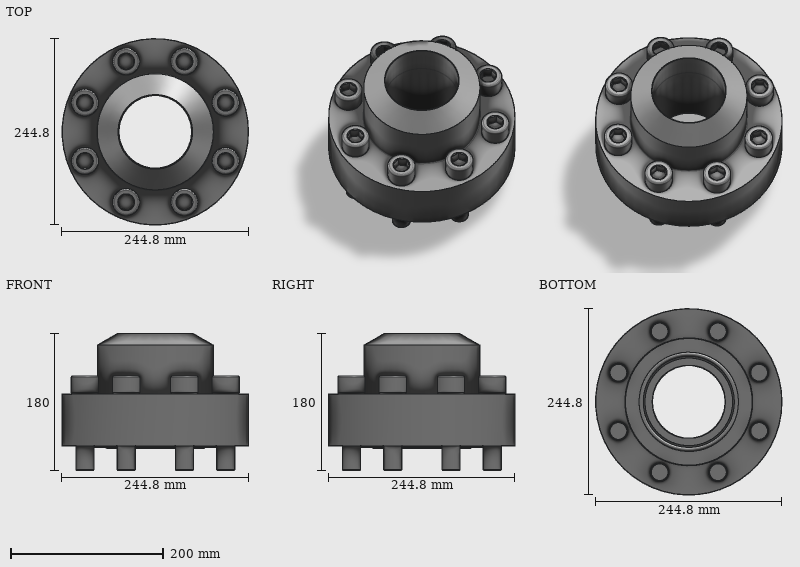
import cadquery as cq
import math

FLANGE_DIAMETER = 244.8
FLANGE_THICKNESS = 68.0
RAISED_FACE_DIAMETER = 168.0
RAISED_FACE_HEIGHT = 2.0
RAISED_FACE_CHAMFER = 0.7

NECK_DIAMETER = 152.5
NECK_FILLET = 1.0
WELD_BEVEL_HEIGHT = 15.7
WELD_RIM_DIAMETER = 98.0
BORE_TOP_DIAMETER = 96.5
BORE_BOTTOM_DIAMETER = 95.5
STRAIGHT_BORE_DEPTH = 39.2

GROOVE_INNER_DIAMETER = 115.0
GROOVE_OUTER_DIAMETER = 130.5
RING_SECTION_DIAMETER = 5.5
RING_PROTRUSION = 1.5

SCREW_COUNT = 8
SCREW_CIRCLE_DIAMETER = 200.0
FIRST_SCREW_ANGLE = 180 / SCREW_COUNT
SCREW_HOLE_DIAMETER = 25.0
SHANK_DIAMETER = 24.0
SHANK_TIP_DIAMETER = 22.0
SHANK_LENGTH = 100.0
HEAD_DIAMETER = 36.0
HEAD_HEIGHT = SHANK_DIAMETER
HEAD_TOP_FILLET = 2.5
HEAD_SEAT_CHAMFER_HEIGHT = 2.0
HEAD_SEAT_CHAMFER_WIDTH = 1.0
SOCKET_CORNER_DIAMETER = 22.0
SOCKET_SIDES = 6
SOCKET_DEPTH = 14.5

TOTAL_HEIGHT = 180.0
FLANGE_TOP = SHANK_LENGTH
HEAD_TOP = FLANGE_TOP + HEAD_HEIGHT
FLANGE_BOTTOM = FLANGE_TOP - FLANGE_THICKNESS
SEAL_FACE = FLANGE_BOTTOM - RAISED_FACE_HEIGHT
WELD_BEVEL_START = TOTAL_HEIGHT - WELD_BEVEL_HEIGHT

RING_SECTION_RADIUS = RING_SECTION_DIAMETER / 2
RING_CENTRE_RADIUS = GROOVE_OUTER_DIAMETER / 2 - RING_SECTION_RADIUS
RING_CENTRE_HEIGHT = SEAL_FACE - RING_PROTRUSION + RING_SECTION_RADIUS
GROOVE_TOP = RING_CENTRE_HEIGHT + RING_SECTION_RADIUS


def fillet_midpoint_offset(radius):
    """Distance from each tangent wall to the middle of a quarter-round fillet."""
    return radius * (1 - math.sqrt(0.5))


def revolve_about_z(profile):
    """Revolve a closed profile, drawn as radius and height, around the Z axis."""
    return profile.revolve(360, (0, 0, 0), (0, 1, 0))


def screw_positions():
    """Angle in degrees and X, Y centre of every screw."""
    positions = []
    for index in range(SCREW_COUNT):
        angle = FIRST_SCREW_ANGLE + index * 360 / SCREW_COUNT
        radius = SCREW_CIRCLE_DIAMETER / 2
        x = radius * math.cos(math.radians(angle))
        y = radius * math.sin(math.radians(angle))
        positions.append((angle, x, y))
    return positions


def make_flange():
    """Weld-neck flange with bore, ring groove and screw holes."""
    neck_radius = NECK_DIAMETER / 2
    arc_offset = fillet_midpoint_offset(NECK_FILLET)
    profile = (
        cq.Workplane("XZ")
        .moveTo(BORE_BOTTOM_DIAMETER / 2, SEAL_FACE)
        .lineTo(GROOVE_INNER_DIAMETER / 2, SEAL_FACE)
        .lineTo(GROOVE_INNER_DIAMETER / 2, GROOVE_TOP)
        .lineTo(GROOVE_OUTER_DIAMETER / 2, GROOVE_TOP)
        .lineTo(GROOVE_OUTER_DIAMETER / 2, SEAL_FACE)
        .lineTo(RAISED_FACE_DIAMETER / 2 - RAISED_FACE_CHAMFER, SEAL_FACE)
        .lineTo(RAISED_FACE_DIAMETER / 2, SEAL_FACE + RAISED_FACE_CHAMFER)
        .lineTo(RAISED_FACE_DIAMETER / 2, FLANGE_BOTTOM)
        .lineTo(FLANGE_DIAMETER / 2, FLANGE_BOTTOM)
        .lineTo(FLANGE_DIAMETER / 2, FLANGE_TOP)
        .lineTo(neck_radius + NECK_FILLET, FLANGE_TOP)
        .threePointArc(
            (neck_radius + arc_offset, FLANGE_TOP + arc_offset),
            (neck_radius, FLANGE_TOP + NECK_FILLET),
        )
        .lineTo(neck_radius, WELD_BEVEL_START)
        .lineTo(WELD_RIM_DIAMETER / 2, TOTAL_HEIGHT)
        .lineTo(BORE_TOP_DIAMETER / 2, TOTAL_HEIGHT)
        .lineTo(BORE_TOP_DIAMETER / 2, TOTAL_HEIGHT - STRAIGHT_BORE_DEPTH)
        .close()
    )
    holes = (
        cq.Workplane("XY", origin=(0, 0, FLANGE_BOTTOM))
        .pushPoints([(x, y) for _, x, y in screw_positions()])
        .circle(SCREW_HOLE_DIAMETER / 2)
        .extrude(FLANGE_THICKNESS)
    )
    return revolve_about_z(profile).cut(holes)


def make_sealing_ring():
    """O-ring that touches the roof and outer wall of its groove and stands proud of the seal face."""
    section = (
        cq.Workplane("XZ")
        .moveTo(RING_CENTRE_RADIUS, RING_CENTRE_HEIGHT)
        .circle(RING_SECTION_RADIUS)
    )
    return revolve_about_z(section)


def make_socket():
    """Hexagonal socket with a 45-degree conical lead-in that reaches its corners."""
    corner_radius = SOCKET_CORNER_DIAMETER / 2
    hexagon = (
        cq.Workplane("XY", origin=(0, 0, HEAD_TOP))
        .polygon(SOCKET_SIDES, SOCKET_CORNER_DIAMETER)
        .extrude(-SOCKET_DEPTH)
    )
    lead_in_profile = (
        cq.Workplane("XZ")
        .moveTo(0, HEAD_TOP)
        .lineTo(corner_radius, HEAD_TOP)
        .lineTo(0, HEAD_TOP - corner_radius)
        .close()
    )
    return hexagon.union(revolve_about_z(lead_in_profile))


def make_screw():
    """Socket-head screw on the Z axis, with its tip at height zero."""
    shank_radius = SHANK_DIAMETER / 2
    tip_chamfer = (SHANK_DIAMETER - SHANK_TIP_DIAMETER) / 2
    head_radius = HEAD_DIAMETER / 2
    arc_offset = fillet_midpoint_offset(HEAD_TOP_FILLET)
    profile = (
        cq.Workplane("XZ")
        .moveTo(0, 0)
        .lineTo(shank_radius - tip_chamfer, 0)
        .lineTo(shank_radius, tip_chamfer)
        .lineTo(shank_radius, FLANGE_TOP)
        .lineTo(head_radius - HEAD_SEAT_CHAMFER_WIDTH, FLANGE_TOP)
        .lineTo(head_radius, FLANGE_TOP + HEAD_SEAT_CHAMFER_HEIGHT)
        .lineTo(head_radius, HEAD_TOP - HEAD_TOP_FILLET)
        .threePointArc(
            (head_radius - arc_offset, HEAD_TOP - arc_offset),
            (head_radius - HEAD_TOP_FILLET, HEAD_TOP),
        )
        .lineTo(0, HEAD_TOP)
        .close()
    )
    return revolve_about_z(profile).cut(make_socket())


flange = make_flange()
sealing_ring = make_sealing_ring()
axial_screw = make_screw()
screws = []
for angle, x, y in screw_positions():
    turned = axial_screw.rotate((0, 0, 0), (0, 0, 1), angle - FIRST_SCREW_ANGLE)
    screws.append(turned.translate((x, y, 0)).val())

result = cq.Compound.makeCompound([flange.val(), sealing_ring.val(), *screws])